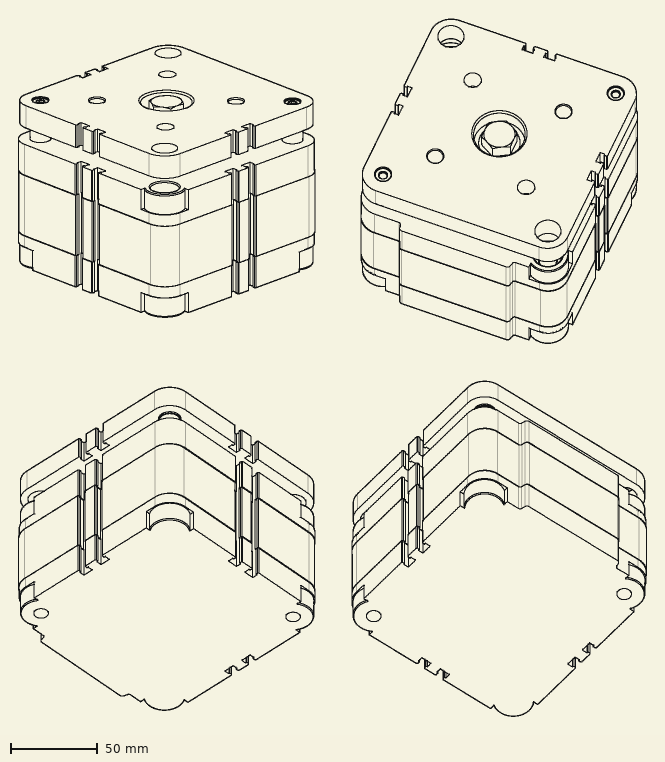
import cadquery as cq
import math

body_width = 128.0
corner_radius = 12.5
body_height = 76.5
cover_height = 19.4
barrel_height = body_height - 2 * cover_height
barrel_width = 127.7
barrel_corner_radius = 11.8
barrel_shift = 0.4

rail_height = 4.8
rail_base_width = 70.5
rail_top_width = 68.1
rail_top_radius = 2.0
rail_base_radius = 1.3

slot_offset = 6.8
slot_neck_width = 4.9
slot_wide_width = 6.6
slot_lip = 2.0
slot_chamfer = 0.5
cut_overrun = 1.3
slot_floor = 58.7

corner_offset = 51.3
pocket_height = 12.4
pocket_reach = 6.6
boss_diameter = 24.0
boss_end_diameter = 23.0
boss_chamfer_height = 0.8
screw_bore_diameter = 16.5
screw_bore_rim_diameter = 18.0
screw_bore_depth = 7.0
screw_hole_diameter = 9.8
screw_hole_rim_diameter = 10.9
screw_hole_end_diameter = 8.4

plate_width = 126.9
plate_thickness = 14.0
plate_gap = 10.1
plate_bottom = body_height + plate_gap
plate_top = plate_bottom + plate_thickness
plate_corner_radius = 12.5
access_hole_diameter = 15.0
rod_insertion = cover_height

piston_rod_diameter = 25.0
flats_width = 22.2
flats_start = 1.0

guide_rod_diameter = 12.0
guide_collar_diameter = 13.0
guide_collar_height = 1.0
guide_end_diameter = 9.0
guide_end_rim_diameter = 10.0
guide_end_depth = 0.9
guide_end_chamfer = (guide_end_rim_diameter - guide_end_diameter) / 2
socket_width = 4.5
socket_rim_diameter = 5.3
socket_depth = 1.3

mount_circle_diameter = 80.0
mount_hole_diameter = 10.0
mount_thread_diameter = 9.0
mount_chamfer_height = 0.8

recess_diameter = 29.8
recess_rim_diameter = 31.9
recess_depth = 10.0
rod_end_diameter = 24.0
rod_end_height = 0.5
hex_width = 18.0
hex_drop = 0.5
hex_chamfer_height = 0.7

screw_corners = [(-corner_offset, corner_offset), (corner_offset, -corner_offset)]
guide_corners = [(-corner_offset, -corner_offset), (corner_offset, corner_offset)]


def rounded_block(width, radius, bottom, height):
    block = cq.Workplane("XY", origin=(0, 0, bottom)).rect(width, width).extrude(height)
    return block.edges("|Z").fillet(radius)


def cylinder(diameter, center, bottom, height):
    x, y = center
    return cq.Workplane("XY", origin=(x, y, bottom)).circle(diameter / 2).extrude(height)


def cone(bottom_diameter, top_diameter, center, bottom, height):
    x, y = center
    base = cq.Workplane("XY", origin=(x, y, bottom)).circle(bottom_diameter / 2)
    return base.workplane(offset=height).circle(top_diameter / 2).loft()


def hexagon(width, center, bottom, height):
    """Hexagonal prism with two corners on the Y direction."""
    x, y = center
    across_corners = width / math.cos(math.pi / 6)
    prism = cq.Workplane("XY").polygon(6, across_corners).extrude(height)
    return prism.rotate((0, 0, 0), (0, 0, 1), 90).translate((x, y, bottom))


def t_slots(width, bottom, height):
    """Cutters for the slot pairs in the -Y, +X and -X sides of a block of the given width."""
    side = width / 2
    outside = side + cut_overrun
    neck = slot_neck_width / 2
    wide = slot_wide_width / 2
    half_outline = [
        (neck + slot_chamfer, outside),
        (neck + slot_chamfer, side),
        (neck, side - slot_chamfer),
        (neck, side - slot_lip),
        (wide, side - slot_lip),
        (wide, slot_floor),
    ]
    outline = half_outline + [(-x, y) for x, y in reversed(half_outline)]
    cutters = cq.Workplane("XY")
    for angle in (90, 180, -90):
        for x in (-slot_offset, slot_offset):
            slot = cq.Workplane("XY", origin=(0, 0, bottom)).polyline(outline).close().extrude(height)
            cutters = cutters.add(slot.translate((x, 0, 0)).rotate((0, 0, 0), (0, 0, 1), angle))
    return cutters.combine()


def section(width, radius, bottom, height):
    """One length of the housing outline with its rail and slots."""
    side = width / 2
    rail = (
        cq.Workplane("XY", origin=(0, 0, bottom))
        .moveTo(-rail_base_width / 2, 0)
        .lineTo(-rail_base_width / 2, side)
        .lineTo(-rail_top_width / 2, side + rail_height)
        .lineTo(rail_top_width / 2, side + rail_height)
        .lineTo(rail_base_width / 2, side)
        .lineTo(rail_base_width / 2, 0)
        .close()
        .extrude(height)
        .edges("|Z and >Y").fillet(rail_top_radius)
    )
    outline = rounded_block(width, radius, bottom, height).union(rail)
    for x in (-rail_base_width / 2, rail_base_width / 2):
        rail_foot = cq.selectors.NearestToPointSelector((x, side, bottom + height / 2))
        outline = outline.edges("|Z").edges(rail_foot).fillet(rail_base_radius)
    return outline.cut(t_slots(width, bottom, height))


def corner_pocket(center, bottom):
    """Square corner cut-out around a round boss that is left standing."""
    x, y = center
    size = 2 * corner_radius
    shift = size / 2 - pocket_reach
    pocket = cq.Workplane("XY").box(size, size, pocket_height, centered=(True, True, False))
    return pocket.translate((x + math.copysign(shift, x), y + math.copysign(shift, y), bottom))


def boss(center, bottom, end_up):
    """Corner boss, chamfered at its free end."""
    shank_height = pocket_height - boss_chamfer_height
    if end_up:
        shank = cylinder(boss_diameter, center, bottom, shank_height)
        end = cone(boss_diameter, boss_end_diameter, center, bottom + shank_height, boss_chamfer_height)
    else:
        shank = cylinder(boss_diameter, center, bottom + boss_chamfer_height, shank_height)
        end = cone(boss_end_diameter, boss_diameter, center, bottom, boss_chamfer_height)
    return shank.union(end)


def screw_bore(center):
    """Stepped through hole with a counterbore from the top; hole and counterbore have chamfered rims."""
    floor = body_height - screw_bore_depth
    bore_rim_height = (screw_bore_rim_diameter - screw_bore_diameter) / 2
    hole_rim_height = (screw_hole_rim_diameter - screw_hole_diameter) / 2
    bore = cylinder(screw_hole_end_diameter, center, 0, cover_height)
    bore = bore.union(cylinder(screw_hole_diameter, center, cover_height, floor - cover_height))
    bore = bore.union(cone(
        screw_hole_diameter, screw_hole_rim_diameter, center, floor - hole_rim_height, hole_rim_height))
    bore = bore.union(cylinder(screw_bore_diameter, center, floor, screw_bore_depth))
    return bore.union(cone(
        screw_bore_diameter, screw_bore_rim_diameter, center,
        body_height - bore_rim_height, bore_rim_height))


def make_housing():
    housing = section(body_width, corner_radius, 0, cover_height)
    barrel = section(barrel_width, barrel_corner_radius, cover_height, barrel_height)
    housing = housing.union(barrel.translate((0, barrel_shift, 0)))
    housing = housing.union(section(body_width, corner_radius, cover_height + barrel_height, cover_height))

    for center in screw_corners + guide_corners:
        housing = housing.cut(corner_pocket(center, 0)).union(boss(center, 0, end_up=False))
    top_pocket_bottom = body_height - pocket_height
    for center in screw_corners:
        housing = housing.cut(corner_pocket(center, top_pocket_bottom))
        housing = housing.union(boss(center, top_pocket_bottom, end_up=True))
        housing = housing.cut(screw_bore(center))

    rod_bore_bottom = body_height - rod_insertion
    housing = housing.cut(cylinder(piston_rod_diameter, (0, 0), rod_bore_bottom, rod_insertion))
    for center in guide_corners:
        housing = housing.cut(cylinder(guide_rod_diameter, center, rod_bore_bottom, rod_insertion))
    return housing


def make_plate():
    plate = rounded_block(plate_width, plate_corner_radius, plate_bottom, plate_thickness)
    plate = plate.cut(t_slots(plate_width, plate_bottom, plate_thickness))
    for center in screw_corners:
        plate = plate.cut(cylinder(access_hole_diameter, center, plate_bottom, plate_thickness))

    mount_offset = mount_circle_diameter / 2 * math.cos(math.pi / 4)
    for x in (-mount_offset, mount_offset):
        for y in (-mount_offset, mount_offset):
            threaded = x * y > 0
            diameter = mount_thread_diameter if threaded else mount_hole_diameter
            plate = plate.cut(cylinder(diameter, (x, y), plate_bottom, plate_thickness))
            if threaded:
                plate = plate.cut(cone(
                    mount_thread_diameter, mount_hole_diameter, (x, y),
                    plate_top - mount_chamfer_height, mount_chamfer_height))
    return plate


def piston_rod():
    rod_bottom = body_height - rod_insertion
    flats_bottom = body_height + flats_start
    rod = cylinder(piston_rod_diameter, (0, 0), rod_bottom, flats_bottom - rod_bottom)
    flats_height = plate_bottom - flats_bottom
    flatted = cylinder(piston_rod_diameter, (0, 0), flats_bottom, flats_height).intersect(
        cq.Workplane("XY", origin=(0, 0, flats_bottom))
        .rect(piston_rod_diameter, flats_width).extrude(flats_height)
    )
    return rod.union(flatted)


def rod_end_recess():
    rim_height = (recess_rim_diameter - recess_diameter) / 2
    recess = cylinder(recess_diameter, (0, 0), plate_top - recess_depth, recess_depth)
    return recess.union(cone(
        recess_diameter, recess_rim_diameter, (0, 0), plate_top - rim_height, rim_height))


def rod_end():
    """Round shoulder with a chamfered hexagon, standing on the recess floor."""
    floor = plate_top - recess_depth
    hex_height = recess_depth - hex_drop
    across_corners = hex_width / math.cos(math.pi / 6)
    chamfered = cylinder(across_corners, (0, 0), floor, hex_height - hex_chamfer_height).union(cone(
        across_corners, hex_width, (0, 0), floor + hex_height - hex_chamfer_height, hex_chamfer_height))
    hexagon_end = hexagon(hex_width, (0, 0), floor, hex_height).intersect(chamfered)
    return cylinder(rod_end_diameter, (0, 0), floor, rod_end_height).union(hexagon_end)


def guide_rod(center):
    rod_bottom = body_height - rod_insertion
    rod = cylinder(guide_rod_diameter, center, rod_bottom, plate_bottom - rod_bottom)
    collar_bottom = plate_bottom - guide_collar_height
    return rod.union(cylinder(guide_collar_diameter, center, collar_bottom, guide_collar_height))


def guide_rod_end_recess(center):
    """Sunk end of a guide rod in the plate, with a hexagon socket."""
    floor = plate_top - guide_end_depth
    rim_height = (socket_rim_diameter - socket_width) / 2
    recess = cylinder(guide_end_diameter, center, floor, guide_end_depth)
    recess = recess.union(cone(
        guide_end_diameter, guide_end_rim_diameter, center,
        plate_top - guide_end_chamfer, guide_end_chamfer))
    recess = recess.union(hexagon(socket_width, center, floor - socket_depth, socket_depth))
    return recess.union(cone(socket_width, socket_rim_diameter, center, floor - rim_height, rim_height))


def make_yoke():
    yoke = make_plate().union(piston_rod())
    yoke = yoke.cut(rod_end_recess()).union(rod_end())
    for center in guide_corners:
        yoke = yoke.union(guide_rod(center)).cut(guide_rod_end_recess(center))
    return yoke


housing = make_housing()
yoke = make_yoke()
result = cq.Compound.makeCompound([housing.val(), yoke.val()])